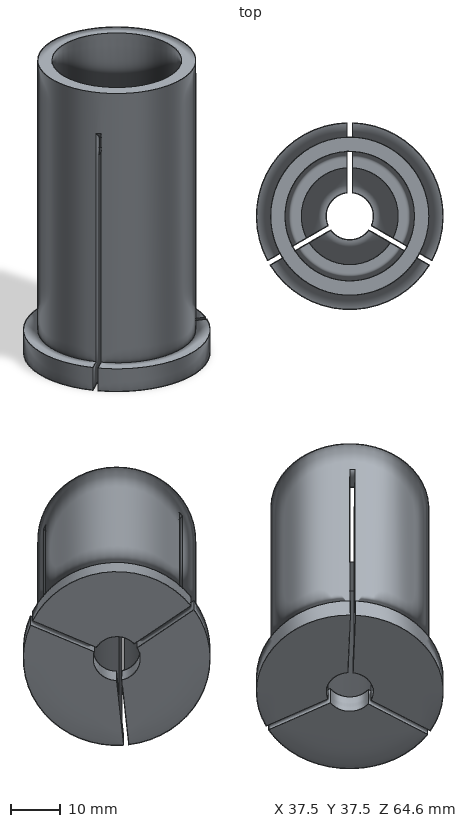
import cadquery as cq

total_height = 64.6
flange_diameter = 37.5
flange_height = 5.05
tube_diameter = 31.7

top_bore_diameter = 26.0
top_bore_depth = 15.05
middle_bore_diameter = 19.45
through_hole_diameter = 9.4

slot_count = 3
slot_width = 1.05
slot_outer_top = 55.55
slot_inner_top = 53.35
first_slot_angle = 90.0


def cylinder(diameter, bottom, top):
    """Upright cylinder on the Z axis between two heights."""
    return cq.Workplane("XY").workplane(offset=bottom).circle(diameter / 2).extrude(top - bottom)


def radial_slot(angle):
    """Slot cutter, open at the bottom face, whose top slopes down inwards through the tube wall."""
    outer_reach = flange_diameter
    cutter = (
        cq.Workplane("XZ")
        .moveTo(0, 0)
        .lineTo(outer_reach, 0)
        .lineTo(outer_reach, slot_outer_top)
        .lineTo(tube_diameter / 2, slot_outer_top)
        .lineTo(top_bore_diameter / 2, slot_inner_top)
        .lineTo(0, slot_inner_top)
        .close()
        .extrude(slot_width / 2, both=True)
    )
    return cutter.rotate((0, 0, 0), (0, 0, 1), angle)


sleeve = cylinder(flange_diameter, 0, flange_height)
sleeve = sleeve.union(cylinder(tube_diameter, 0, total_height))

top_bore_floor = total_height - top_bore_depth
middle_bore_floor = flange_height
sleeve = sleeve.cut(cylinder(top_bore_diameter, top_bore_floor, total_height))
sleeve = sleeve.cut(cylinder(middle_bore_diameter, middle_bore_floor, total_height))
sleeve = sleeve.cut(cylinder(through_hole_diameter, 0, total_height))

for index in range(slot_count):
    sleeve = sleeve.cut(radial_slot(first_slot_angle + index * 360 / slot_count))

result = sleeve